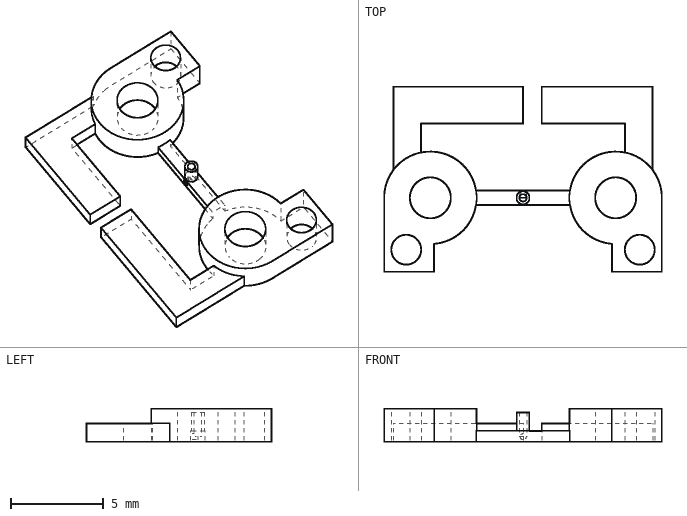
import cadquery as cq

ring_height = 1.8
ring_offset = 5.0
ring_radius = 2.5
ring_bore = 2.2

block_outer_x = ring_offset + ring_radius
block_inner_x = 4.8
block_front_y = -4.0
screw_hole = 1.6
screw_hole_x = 6.3
screw_hole_y = -2.8

arm_height = 1.0
arm_outer_x = 7.0
arm_leg_width = 1.5
arm_inner_x = arm_outer_x - arm_leg_width
arm_back_y = 6.0
arm_bar_width = 2.0
arm_front_y = arm_back_y - arm_bar_width
left_arm_end_x = 0.0
right_arm_end_x = 1.0

bridge_height = 0.6
bridge_width = 0.8
pin_diameter = 0.7
pin_top = 1.6

pin_bore = 0.4
level_bore = 0.33
level_bore_z = bridge_height / 2
level_bore_end_y = bridge_width / 2


def box_between(x1, x2, y1, y2, height):
    """Box standing on the base plane between two X and two Y limits."""
    return (
        cq.Workplane("XY")
        .box(abs(x2 - x1), abs(y2 - y1), height, centered=False)
        .translate((min(x1, x2), min(y1, y2), 0))
    )


def cylinder_at(x, y, diameter, bottom, top):
    """Upright cylinder between two heights."""
    return (
        cq.Workplane("XY", origin=(x, y, bottom))
        .circle(diameter / 2)
        .extrude(top - bottom)
    )


def arm(side, end_x):
    """L-shaped arm: a leg running back from the ring and a bar reaching inward to end_x."""
    leg = box_between(side * arm_outer_x, side * arm_inner_x, 0, arm_back_y, arm_height)
    bar = box_between(side * arm_outer_x, end_x, arm_front_y, arm_back_y, arm_height)
    return leg.union(bar)


def half(side, arm_end_x):
    """Ring, mounting block and arm on one side (-1 left, +1 right), without holes."""
    ring = cylinder_at(side * ring_offset, 0, 2 * ring_radius, 0, ring_height)
    block = box_between(side * block_outer_x, side * block_inner_x, block_front_y, 0, ring_height)
    return ring.union(block).union(arm(side, arm_end_x))


def half_holes(side):
    """Ring bore and screw hole on one side, both right through."""
    bore = cylinder_at(side * ring_offset, 0, ring_bore, 0, ring_height)
    screw = cylinder_at(side * screw_hole_x, screw_hole_y, screw_hole, 0, ring_height)
    return bore.union(screw)


def elbow_channel():
    """Vertical bore from the pin top to the level bore axis, then a level bore toward +Y."""
    vertical = cylinder_at(0, 0, pin_bore, level_bore_z, pin_top)
    level = (
        cq.Workplane("XZ", origin=(0, 0, level_bore_z))
        .circle(level_bore / 2)
        .extrude(-level_bore_end_y)
    )
    return vertical.union(level)


bridge = box_between(-ring_offset, ring_offset, -bridge_width / 2, bridge_width / 2, bridge_height)
pin = cylinder_at(0, 0, pin_diameter, 0, pin_top)

result = bridge.union(pin).cut(elbow_channel())
for side, arm_end_x in ((-1, left_arm_end_x), (1, right_arm_end_x)):
    result = result.union(half(side, arm_end_x)).cut(half_holes(side))